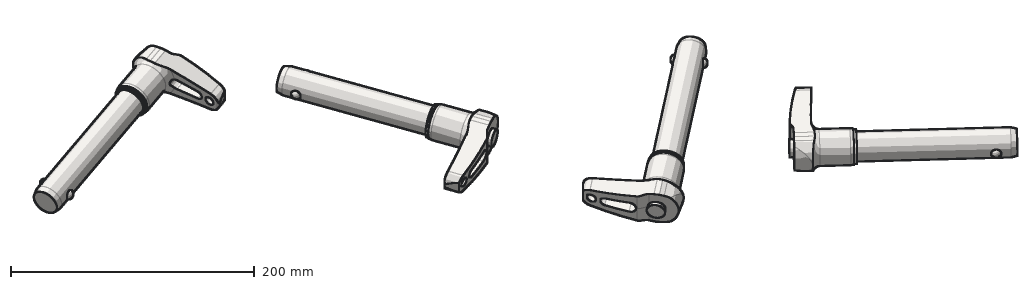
import cadquery as cq
import math

total_length = 186.8

pin_radius = 12.5
tip_radius = 11.2
tip_length = 5.2

ball_radius = 4.5
ball_reach = 15.5
ball_y = 17.5

sleeve_radius = 15.3
sleeve_end_y = 131.7
collar_y = 134.1
taper_y = 137.0
sleeve_end_radius = 14.4
collar_radius = 15.0
flare_radius = 6.2

button_radius = 7.7
button_base_radius = 7.5

heel_circle = (-4.1, 16.0)
hub_circle = (0.0, 16.6)
toe_circle = (54.5, 9.3)
slot_inner_circle = (22.0, 5.5)
slot_outer_circle = (42.8, 4.1)
lanyard_hole_radius = 4.0

handle_base_y = 168.3
flare_y = handle_base_y - flare_radius
hub_top_y = 183.0
crest = (15.9, 186.0)
hollow_start_x = 6.5
back_middle = (37.4, 183.8)
back_end = (61.8, 179.0)
toe_bottom = (64.0, 166.3)
toe_round = 1.5
belly_middle = (41.1, 167.5)

heel_base_radius = 20.2
heel_top_radius = 18.3
profile_margin = 3.7


def revolve_about_pin(points):
    """Solid of revolution from (radius, y) points, closed through the pin axis."""
    outline = [(0, points[0][1])] + points + [(0, points[-1][1])]
    return cq.Workplane("XY").polyline(outline).close().revolve(360, (0, 0, 0), (0, 1, 0))


def tapered_slab(first, second):
    """Two circles on the X axis joined by their outer tangents, cut through along Y."""
    (x1, r1), (x2, r2) = first, second
    lean = (r1 - r2) / (x2 - x1)
    rise = math.sqrt(1 - lean**2)
    start = (x1 + r1 * lean, r1 * rise)
    end = (x2 + r2 * lean, r2 * rise)
    return (
        cq.Workplane("XZ")
        .moveTo(*start)
        .lineTo(*end)
        .threePointArc((x2 + r2, 0), (end[0], -end[1]))
        .lineTo(start[0], -start[1])
        .threePointArc((x1 - r1, 0), start)
        .close()
        .extrude(-2 * total_length)
    )


def make_pin():
    return revolve_about_pin(
        [(tip_radius, 0), (pin_radius, tip_length), (pin_radius, hub_top_y)]
    )


def make_balls():
    balls = cq.Workplane("XY")
    for side in (-1, 1):
        centre = (side * (ball_reach - ball_radius), ball_y, 0)
        balls = balls.union(cq.Workplane("XY").sphere(ball_radius).translate(centre))
    return balls


def make_sleeve():
    return revolve_about_pin(
        [
            (sleeve_end_radius, sleeve_end_y),
            (sleeve_end_radius, collar_y),
            (collar_radius, collar_y),
            (sleeve_radius, taper_y),
            (sleeve_radius, hub_top_y),
        ]
    )


def make_button():
    return revolve_about_pin(
        [(button_base_radius, hub_top_y), (button_radius, total_length)]
    )


def make_flare():
    """Concave skirt that spreads from the sleeve to the underside of the handle."""
    outer_radius = sleeve_radius + flare_radius
    top_y = handle_base_y
    diagonal = flare_radius * math.sqrt(0.5)
    return (
        cq.Workplane("XY")
        .moveTo(0, flare_y)
        .lineTo(sleeve_radius, flare_y)
        .threePointArc((outer_radius - diagonal, flare_y + diagonal), (outer_radius, top_y))
        .lineTo(0, top_y)
        .close()
        .revolve(360, (0, 0, 0), (0, 1, 0))
    )


def make_handle_profile():
    """Side shape of the handle, extruded wider than the handle."""
    hub_reach = heel_base_radius + profile_margin
    half_width = hub_circle[1] + profile_margin
    return (
        cq.Workplane("XY")
        .moveTo(-hub_reach, handle_base_y)
        .lineTo(-hub_reach, hub_top_y)
        .lineTo(hollow_start_x, hub_top_y)
        .spline([crest], tangents=[(1, 0), (1, 0)], includeCurrent=True)
        .threePointArc(back_middle, back_end)
        .lineTo(*toe_bottom)
        .threePointArc(belly_middle, (sleeve_radius, handle_base_y))
        .close()
        .extrude(half_width, both=True)
        .edges(cq.selectors.NearestToPointSelector((*toe_bottom, 0)))
        .fillet(toe_round)
    )


def make_heel_cone():
    """Conical hub envelope, opened out along +X so it trims the heel only."""
    cone = revolve_about_pin(
        [
            (heel_base_radius, flare_y),
            (heel_base_radius, handle_base_y),
            (heel_top_radius, hub_top_y),
            (heel_top_radius, total_length),
        ]
    )
    arm_side = (
        cq.Workplane("XY")
        .box(total_length, total_length, total_length, centered=(False, False, True))
    )
    return cone.union(arm_side)


def make_handle():
    outline = tapered_slab(hub_circle, toe_circle).union(tapered_slab(heel_circle, hub_circle))
    handle = make_handle_profile().union(make_flare()).intersect(outline)
    handle = handle.intersect(make_heel_cone())
    slot = tapered_slab(slot_inner_circle, slot_outer_circle)
    lanyard_hole = (
        cq.Workplane("XZ")
        .center(toe_circle[0], 0)
        .circle(lanyard_hole_radius)
        .extrude(-2 * total_length)
    )
    return handle.cut(slot).cut(lanyard_hole)


result = make_handle()
for piece in (make_sleeve(), make_pin(), make_balls(), make_button()):
    result = result.union(piece)